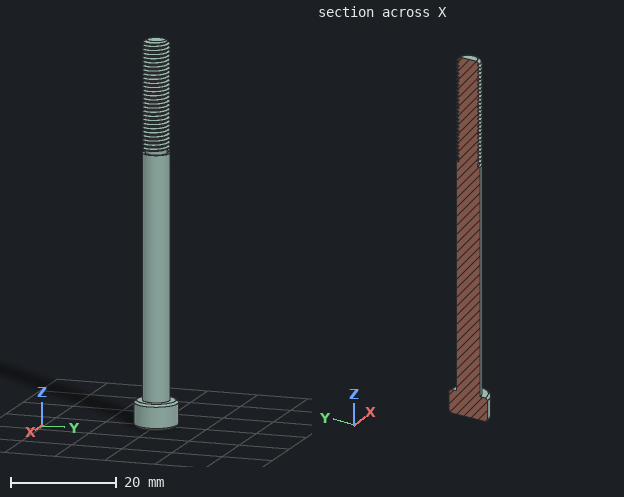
import cadquery as cq
import math

total_length = 75.0
head_diameter = 8.5
head_height = 5.0
head_chamfer = 0.45
shank_diameter = 5.25
thread_length = 22.0
thread_turns = 27.5
root_diameter = 4.2
tip_diameter = 3.6
tip_chamfer_height = 0.5
flank_half_angle = 30.0
crest_fraction = 0.05
root_overlap = 0.1
ridge_start_angle = 90.0
end_allowance = 1.5

pitch = thread_length / thread_turns
shank_radius = shank_diameter / 2
root_radius = root_diameter / 2
tip_radius = tip_diameter / 2
shoulder_z = total_length - thread_length
helix_start_z = shoulder_z + pitch / 2
helix_height = thread_length


def make_head():
    """Cylindrical head, chamfered on both rims."""
    head = cq.Workplane("XY").circle(head_diameter / 2).extrude(head_height)
    return head.edges().chamfer(head_chamfer)


def make_shank():
    """Plain shank between the head and the thread."""
    shank = cq.Workplane("XY").workplane(offset=head_height)
    return shank.circle(shank_radius).extrude(shoulder_z - head_height)


def make_ridge():
    """Helical thread ridge with a trapezoidal profile, overlapping the core."""
    inner_radius = root_radius - root_overlap
    crest_half = crest_fraction * pitch / 2
    flank_rise = (shank_radius - inner_radius) * math.tan(math.radians(flank_half_angle))
    base_half = crest_half + flank_rise
    profile = (
        cq.Workplane("XZ")
        .polyline([
            (inner_radius, -base_half),
            (shank_radius, -crest_half),
            (shank_radius, crest_half),
            (inner_radius, base_half),
        ])
        .close()
    )
    helix = cq.Workplane(cq.Wire.makeHelix(pitch, helix_height, root_radius))
    ridge = profile.sweep(helix, isFrenet=True)
    ridge = ridge.rotate((0, 0, 0), (0, 0, 1), ridge_start_angle)
    return ridge.translate((0, 0, helix_start_z))


def make_core():
    """Thread core at the root diameter, reaching down into the shank."""
    core = cq.Workplane("XY").workplane(offset=shoulder_z - pitch)
    return core.circle(root_radius).extrude(thread_length + pitch + end_allowance)


def make_tip_envelope():
    """Space the whole screw may fill: a cylinder with a tapered, flat tip."""
    return (
        cq.Workplane("XZ")
        .lineTo(head_diameter, 0)
        .lineTo(head_diameter, total_length - tip_chamfer_height)
        .lineTo(shank_radius, total_length - tip_chamfer_height)
        .lineTo(tip_radius, total_length)
        .lineTo(0, total_length)
        .close()
        .revolve(360, (0, 0, 0), (0, 1, 0))
    )


thread = make_core().union(make_ridge())
screw = thread.union(make_shank()).union(make_head())
result = screw.intersect(make_tip_envelope())